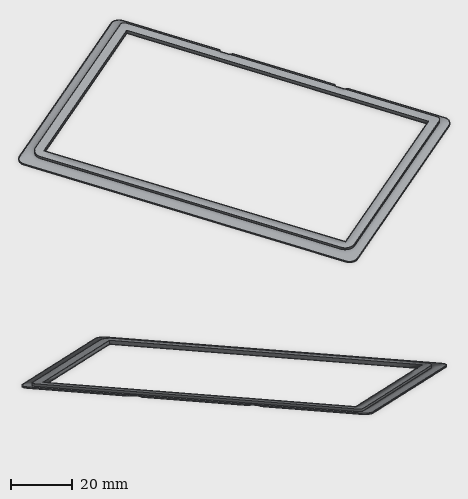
import cadquery as cq

length = 120.5
width = 77.2
height = 1.3
flange_thickness = 0.5
flange_corner_radius = 2.9

side_ledge = 3.4
back_ledge = 1.6
front_ledge = 4.6
rim_back_radius = 1.5
rim_front_radius = 3.4

rim_wall = 3.1

notch_spacing = 41.0
notch_width = 4.6
notch_depth = 1.2

rim_length = length - 2 * side_ledge
rim_width = width - back_ledge - front_ledge
rim_center_y = (front_ledge - back_ledge) / 2
window_length = rim_length - 2 * rim_wall
window_width = rim_width - 2 * rim_wall


def make_flange():
    """Thin rounded plate that gives the part its outline."""
    plate = cq.Workplane("XY").box(length, width, flange_thickness, centered=(True, True, False))
    return plate.edges("|Z").fillet(flange_corner_radius)


def make_rim():
    """Full-height block with tighter corners at the back than at the front."""
    block = (
        cq.Workplane("XY")
        .center(0, rim_center_y)
        .box(rim_length, rim_width, height, centered=(True, True, False))
    )
    block = block.edges("|Z and >Y").fillet(rim_back_radius)
    return block.edges("|Z and <Y").fillet(rim_front_radius)


def make_window():
    """Sharp-cornered opening through the full height."""
    return (
        cq.Workplane("XY")
        .center(0, rim_center_y)
        .rect(window_length, window_width)
        .extrude(height)
    )


def make_notches():
    """Cylinders whose arcs cut the back edge to the notch width and depth."""
    radius = ((notch_width / 2) ** 2 + notch_depth**2) / (2 * notch_depth)
    center_y = width / 2 - notch_depth + radius
    centers = [(side * notch_spacing / 2, center_y) for side in (-1, 1)]
    return cq.Workplane("XY").pushPoints(centers).circle(radius).extrude(flange_thickness)


result = make_flange().union(make_rim()).cut(make_window()).cut(make_notches())